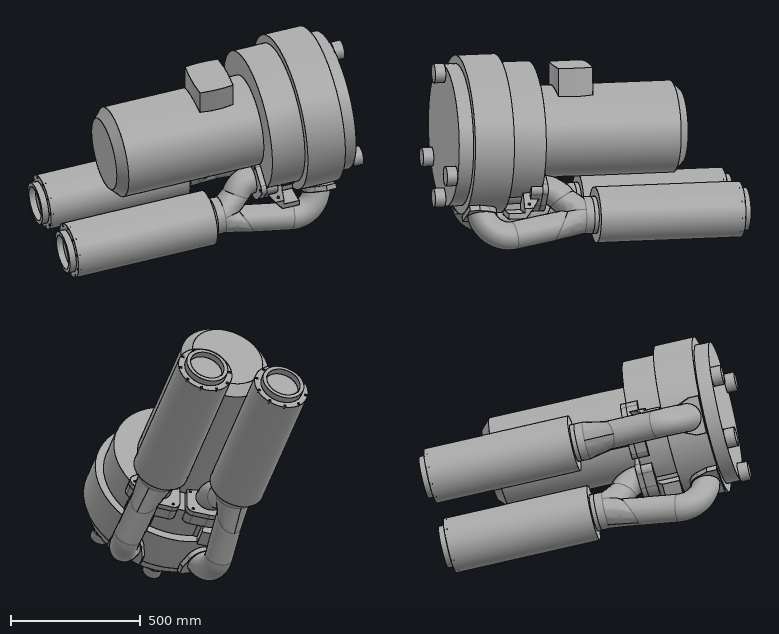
import cadquery as cq
import math

rear_tip = 0.0
cover_rear = 41.0
disc_rear = 98.0
disc_front = 252.0
drum_front = 385.0
motor_front = 977.0
pipe_flange_thickness = 22.0
neck_start = 556.0
neck_end = 589.0
silencer_rear = 606.0
silencer_front = 1178.0
outlet_front = 1204.0

disc_diameter = 615.0
disc_radius = disc_diameter / 2
drum_radius = 275.0
motor_radius = 178.0
motor_chamfer = 36.0

stud_radius = 37.0
stud_circle_radius = 245.0
stud_angles = (-150, -90, -30, 90)

box_width = 167.0
box_length = 136.0
box_bulge = 5.0
box_center_x = -10.0
box_station = 542.0
box_top = 260.0

line_tilt = math.degrees(math.atan(0.5))
silencer_offset = 345.0
silencer_radius = 108.0
neck_radius = 72.0
outlet_radius = 83.0
outlet_bore_radius = 67.0
outlet_bore_depth = 26.0
end_hole_count = 10
end_hole_circle_radius = 100.0
end_hole_depth = 12.0
bolt_hole_radius = 4.2

pipe_radius = 54.0
upper_offset = 234.0
upper_bend_radius = 85.0
upper_bend_angle = 60.0
lower_station = 157.0
lower_bend_radius = 104.0
lower_bend_center = 312.0
lower_slope = 10.0
lower_seam_station = 468.0
lower_seam_tilt = 26.0

flange_nose_radius = 83.0
flange_near_radius = 15.0
flange_far_radius = 29.0
flange_near_holes = (58.0, -54.0)
flange_far_holes = (87.0, 30.0)
flange_far_corners = (80.0, 22.0)
pad_rear = 341.0

rim_flange_half_width = 73.0
rim_flange_shoulder = 137.0
rim_flange_nose_radius = 60.0

bracket_outer_x = 211.0
bracket_inner_x = 104.0
bracket_wall_x = 132.0
bracket_bottom = -301.0
bracket_ledge_top = -280.0
bracket_shoulder_z = -261.0
bracket_web_rear = 314.0
bracket_toe = 320.0
bracket_heel = (375.0, -229.0)
bracket_top = -181.0
bracket_hole = (335.0, 311.0)
bracket_hole_depth = 18.0


def across(station):
    """Plane across the motor axis at a station, with local Y along +Z and its normal facing forward."""
    return cq.Plane(origin=(0, -station, 0), xDir=(1, 0, 0), normal=(0, -1, 0))


def rod_along_axis(radius, start, end, x=0.0, z=0.0):
    """Cylinder parallel to the motor axis between two stations."""
    return cq.Workplane(across(start)).center(x, z).circle(radius).extrude(end - start)


def make_terminal_box():
    hw = box_width / 2
    hl = box_length / 2
    return (
        cq.Workplane("XY")
        .center(box_center_x, -box_station)
        .moveTo(-hw, -hl)
        .threePointArc((0, -hl - box_bulge), (hw, -hl))
        .threePointArc((hw + box_bulge, 0), (hw, hl))
        .threePointArc((0, hl + box_bulge), (-hw, hl))
        .threePointArc((-hw - box_bulge, 0), (-hw, -hl))
        .close()
        .extrude(box_top)
    )


def tilt_line(shape, side):
    """Swing a hanging exhaust-line shape about the motor axis, to the left (-1) or right (+1)."""
    return shape.rotate((0, 0, 0), (0, 1, 0), -side * line_tilt)


def flange_pair(place):
    """Left and right copies of a flange place (half spacing, distance below the pipe), before tilting."""
    half_spacing, drop = place
    return [(side * half_spacing, -upper_offset - drop) for side in (-1, 1)]


def tangent_point(start, start_radius, end, end_radius, from_start):
    """Where the outer line touching two circles, on the left going from start to end, meets one of them."""
    dx = end[0] - start[0]
    dz = end[1] - start[1]
    normal = math.atan2(dz, dx) + math.acos((start_radius - end_radius) / math.hypot(dx, dz))
    center, radius = (start, start_radius) if from_start else (end, end_radius)
    return (center[0] + radius * math.cos(normal), center[1] + radius * math.sin(normal))


def rounded_hull(workplane, circles):
    """Closed outline stretched round circles (x, z, radius) that are listed clockwise."""
    count = len(circles)
    arrivals = []
    departures = []
    for i in range(count):
        x0, z0, r0 = circles[i]
        x1, z1, r1 = circles[(i + 1) % count]
        departures.append(tangent_point((x0, z0), r0, (x1, z1), r1, True))
        arrivals.append(tangent_point((x0, z0), r0, (x1, z1), r1, False))
    outline = workplane.moveTo(*departures[0])
    for i in range(count):
        x, z, radius = circles[(i + 1) % count]
        first = arrivals[i]
        last = departures[(i + 1) % count]
        a0 = math.atan2(first[1] - z, first[0] - x)
        a1 = math.atan2(last[1] - z, last[0] - x)
        middle = a0 - ((a0 - a1) % (2 * math.pi)) / 2
        apex = (x + radius * math.cos(middle), z + radius * math.sin(middle))
        outline = outline.lineTo(*first).threePointArc(apex, last)
    return outline.close()


def front_flange_block(start, end):
    """Shield-shaped block of the front pipe flange between two stations, clear of the motor."""
    near_left, near_right = flange_pair(flange_near_holes)
    far_left, far_right = flange_pair(flange_far_corners)
    circles = [
        (*near_left, flange_near_radius),
        (*near_right, flange_near_radius),
        (*far_right, flange_far_radius),
        (0, -upper_offset, flange_nose_radius),
        (*far_left, flange_far_radius),
    ]
    block = rounded_hull(cq.Workplane(across(start)), circles).extrude(end - start)
    return block.cut(rod_along_axis(motor_radius, start, end))


def make_bracket():
    """Left-hand bracket: a web below the drum and a ledge reaching back to the disc."""
    side_profile = [
        (-disc_front, bracket_top),
        (-disc_front, bracket_bottom),
        (-bracket_toe, bracket_bottom),
        (-bracket_heel[0], bracket_heel[1]),
        (-bracket_heel[0], bracket_top),
    ]
    bracket = (
        cq.Workplane("YZ", origin=(-bracket_outer_x, 0, 0))
        .polyline(side_profile)
        .close()
        .extrude(bracket_outer_x - bracket_inner_x)
    )
    window = (
        cq.Workplane("XY")
        .box(
            bracket_outer_x - bracket_wall_x,
            bracket_web_rear - disc_front,
            bracket_top - bracket_ledge_top,
            centered=False,
        )
        .translate((-bracket_outer_x, -bracket_web_rear, bracket_ledge_top))
    )
    rise = bracket_top - bracket_shoulder_z
    lean = (
        cq.Workplane(across(disc_front))
        .moveTo(-bracket_outer_x, bracket_shoulder_z)
        .lineTo(-bracket_outer_x + rise * math.tan(math.radians(line_tilt)), bracket_top)
        .lineTo(-bracket_outer_x, bracket_top)
        .close()
        .extrude(bracket_heel[0] - disc_front)
    )
    t = math.radians(line_tilt)
    face_x = bracket_outer_x * math.cos(t) + bracket_shoulder_z * math.sin(t)
    hole = (
        cq.Workplane("YZ", origin=(-face_x, 0, 0))
        .center(-bracket_hole[0], -bracket_hole[1])
        .circle(bolt_hole_radius)
        .extrude(bracket_hole_depth)
    )
    return bracket.cut(window).cut(lean).cut(tilt_line(hole, -1))


def make_housing():
    body = rod_along_axis(drum_radius, cover_rear, drum_front)
    body = body.union(rod_along_axis(disc_radius, disc_rear, disc_front))
    motor = rod_along_axis(motor_radius, drum_front, motor_front)
    body = body.union(motor.faces("<Y").chamfer(motor_chamfer))
    for angle in stud_angles:
        x = stud_circle_radius * math.cos(math.radians(angle))
        z = stud_circle_radius * math.sin(math.radians(angle))
        body = body.union(rod_along_axis(stud_radius, rear_tip, cover_rear, x, z))
    for side in (-1, 1):
        body = body.union(tilt_line(front_flange_block(pad_rear, drum_front), side))
        duct = rod_along_axis(pipe_radius, disc_front, drum_front, 0, -upper_offset)
        body = body.union(tilt_line(duct, side))
    bracket = make_bracket()
    body = body.union(bracket).union(bracket.mirror("YZ"))
    return body.union(make_terminal_box())


def pipe_plane(station, offset, tilt):
    """Plane across a hanging exhaust line, its normal tilted downward from -Y."""
    t = math.radians(tilt)
    return cq.Plane(
        origin=(0, -station, -offset), xDir=(1, 0, 0), normal=(0, -math.cos(t), -math.sin(t))
    )


def section_wire(radius, station, offset, pipe_tilt, cut_tilt):
    """Outline of a round pipe, tilted downward from -Y, cut by a plane whose normal has its own tilt."""
    t = math.radians(cut_tilt)
    stretched_radius = radius / math.cos(math.radians(cut_tilt - pipe_tilt))
    center = cq.Vector(0, -station, -offset)
    normal = cq.Vector(0, -math.cos(t), -math.sin(t))
    downward = cq.Vector(0, math.sin(t), -math.cos(t))
    return cq.Wire.makeEllipse(stretched_radius, radius, center, normal, downward)


def make_upper_branch():
    """Bend from the front flange, then a throat that widens into the neck."""
    start = drum_front + pipe_flange_thickness
    angle = math.radians(upper_bend_angle)
    end = start + upper_bend_radius * math.sin(angle)
    end_offset = upper_offset + upper_bend_radius * (1 - math.cos(angle))
    bend = (
        cq.Workplane(across(start))
        .center(0, -upper_offset)
        .circle(pipe_radius)
        .revolve(upper_bend_angle, (-12, -upper_bend_radius), (0, -upper_bend_radius))
    )
    bend_end = section_wire(pipe_radius, end, end_offset, upper_bend_angle, upper_bend_angle)
    neck = section_wire(neck_radius, neck_start, silencer_offset, 0, 0)
    throat = cq.Workplane(cq.Solid.makeLoft([bend_end, neck], True))
    return bend.union(throat)


def make_lower_branch():
    """Bend from the rim flange, then a straight run that widens into the neck beyond a slanted seam."""
    slope = math.radians(lower_slope)
    bend = (
        cq.Workplane("XY", origin=(0, -lower_station, -lower_bend_center))
        .circle(pipe_radius)
        .revolve(90 + lower_slope, (0, -lower_bend_radius), (-1, -lower_bend_radius))
    )
    end = lower_station + lower_bend_radius * (1 + math.sin(slope))
    end_offset = lower_bend_center + lower_bend_radius * math.cos(slope)
    seam_offset = end_offset - (lower_seam_station - end) * math.tan(slope)
    run = (
        cq.Workplane(pipe_plane(end, end_offset, -lower_slope))
        .circle(pipe_radius)
        .extrude(neck_start - end)
    )
    seam_plane = pipe_plane(lower_seam_station, seam_offset, lower_seam_tilt)
    cutter_size = 4 * pipe_radius
    beyond_seam = cq.Workplane(seam_plane).rect(cutter_size, cutter_size).extrude(cutter_size)
    seam = section_wire(pipe_radius, lower_seam_station, seam_offset, -lower_slope, lower_seam_tilt)
    neck = section_wire(neck_radius, neck_start, silencer_offset, 0, 0)
    throat = cq.Workplane(cq.Solid.makeLoft([seam, neck], True))
    return bend.union(run.cut(beyond_seam)).union(throat)


def make_rim_flange():
    """Flat flange on the underside of the disc: a straight-sided rear and a rounded nose."""
    hw = rim_flange_half_width
    nose = (0, -lower_station)
    tip = (0, -lower_station - rim_flange_nose_radius)
    left_shoulder = (-hw, -rim_flange_shoulder)
    left_touch = tangent_point(nose, rim_flange_nose_radius, left_shoulder, 0, True)
    return (
        cq.Workplane("XY", origin=(0, 0, -disc_radius))
        .moveTo(-hw, -disc_rear)
        .lineTo(hw, -disc_rear)
        .lineTo(hw, -rim_flange_shoulder)
        .lineTo(-left_touch[0], left_touch[1])
        .threePointArc(tip, left_touch)
        .lineTo(*left_shoulder)
        .close()
        .extrude(-pipe_flange_thickness)
    )


def make_exhaust_pipe(side):
    flange = front_flange_block(drum_front, drum_front + pipe_flange_thickness)
    for x, z in flange_pair(flange_near_holes) + flange_pair(flange_far_holes):
        flange = flange.cut(
            rod_along_axis(bolt_hole_radius, drum_front, drum_front + pipe_flange_thickness, x, z)
        )
    pipe = make_upper_branch().union(make_lower_branch())
    pipe = pipe.union(rod_along_axis(neck_radius, neck_start, neck_end, 0, -silencer_offset))
    pipe = pipe.union(flange).union(make_rim_flange())
    return tilt_line(pipe, side)


def make_silencer(side):
    z = -silencer_offset
    body = rod_along_axis(neck_radius, neck_end, silencer_rear, 0, z)
    body = body.union(rod_along_axis(silencer_radius, silencer_rear, silencer_front, 0, z))
    body = body.union(rod_along_axis(outlet_radius, silencer_front, outlet_front, 0, z))
    body = body.cut(rod_along_axis(outlet_bore_radius, outlet_front - outlet_bore_depth, outlet_front, 0, z))
    for i in range(end_hole_count):
        angle = 2 * math.pi / end_hole_count * i
        body = body.cut(
            rod_along_axis(
                bolt_hole_radius,
                silencer_front - end_hole_depth,
                silencer_front,
                end_hole_circle_radius * math.cos(angle),
                z + end_hole_circle_radius * math.sin(angle),
            )
        )
    return tilt_line(body, side)


housing = make_housing()
exhaust_pipes = [make_exhaust_pipe(side) for side in (-1, 1)]
silencers = [make_silencer(side) for side in (-1, 1)]
bodies = [housing, *exhaust_pipes, *silencers]
result = cq.Compound.makeCompound([body.solids().val() for body in bodies])